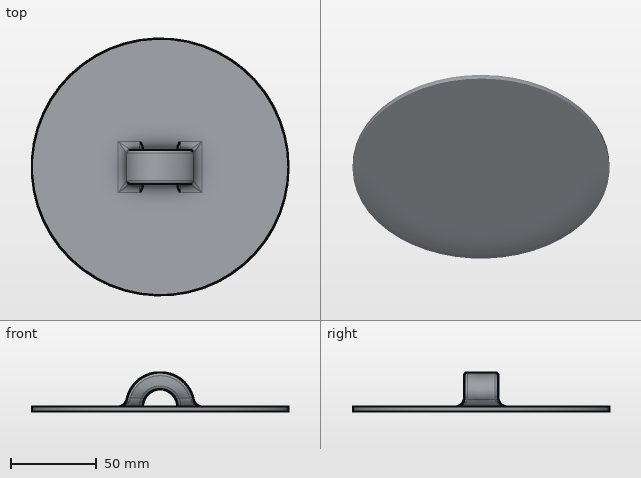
import cadquery as cq

plate_diameter = 150.0
plate_thickness = 3.0
arch_outer_radius = 20.0
arch_inner_radius = 10.0
arch_width = 20.0
foot_fillet = 5.0
edge_fillet = 2.0

pick_margin = 0.1


def make_plate():
    """Flat round base standing on Z = 0."""
    return cq.Workplane("XY").circle(plate_diameter / 2).extrude(plate_thickness)


def make_arch():
    """Half ring bridging along X, with its axis along Y in the top face of the plate."""
    return (
        cq.Workplane("XZ", origin=(0, 0, plate_thickness))
        .moveTo(-arch_outer_radius, 0)
        .threePointArc((0, arch_outer_radius), (arch_outer_radius, 0))
        .lineTo(arch_inner_radius, 0)
        .threePointArc((0, arch_inner_radius), (-arch_inner_radius, 0))
        .close()
        .extrude(arch_width / 2, both=True)
    )


def blend_feet(body):
    """Concave fillets where the outer and side faces of the arch meet the plate.

    The two edges along the bore, at X = +/- arch_inner_radius, stay sharp.
    """
    foot_edges = []
    for side in (-1, 1):
        near_x = side * (arch_inner_radius + pick_margin)
        far_x = side * (arch_outer_radius + pick_margin)
        foot_zone = cq.selectors.BoxSelector(
            (near_x, -arch_width, plate_thickness - pick_margin),
            (far_x, arch_width, plate_thickness + pick_margin),
        )
        foot_edges += body.edges(foot_zone).vals()
    return body.newObject(foot_edges).fillet(foot_fillet)


def round_arch_edges(body):
    """Round every edge above the plate, down the foot corners and the bore mouths.

    Selecting the seams where faces meet smoothly is harmless: they are left as they are.
    """
    plate_zone = cq.selectors.BoxSelector(
        (-plate_diameter, -plate_diameter, -plate_thickness),
        (plate_diameter, plate_diameter, plate_thickness + pick_margin),
    )
    return body.edges(cq.selectors.InverseSelector(plate_zone)).fillet(edge_fillet)


part = make_plate().union(make_arch())
part = blend_feet(part)
result = round_arch_edges(part)